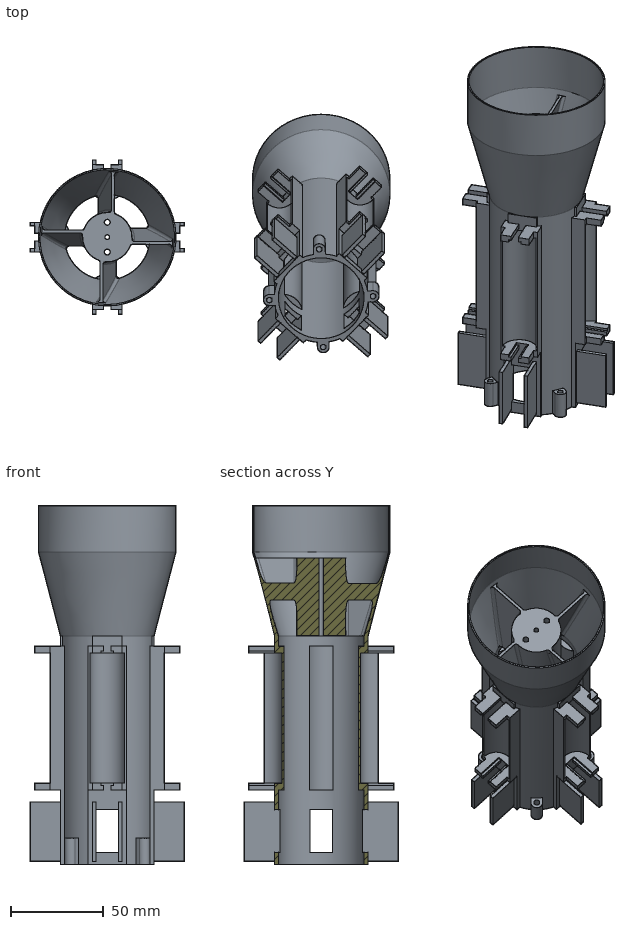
import cadquery as cq
import math

TOTAL_HEIGHT = 193.0
COLLAR_HEIGHT = 25.0
FUNNEL_HEIGHT = 45.0
COLLAR_BOTTOM = TOTAL_HEIGHT - COLLAR_HEIGHT
TUBE_TOP = COLLAR_BOTTOM - FUNNEL_HEIGHT

TUBE_RADIUS = 25.25
BORE_RADIUS = 23.0
ROOT_RADIUS = (TUBE_RADIUS + BORE_RADIUS) / 2
COLLAR_RADIUS = 37.0
COLLAR_BORE_RADIUS = 36.2

PAD_HALF_WIDTH = 10.25
NECK_HALF_WIDTH = 8.0

HOLDER_BOTTOM = 40.0
HOLDER_TOP = 117.5
HOLDER_REACH = 30.7
CLIP_THICKNESS = 3.75
CLIP_HALF_WIDTH = 8.0
CLIP_REACH = 39.0
POCKET_RADIUS = 9.4
LINER_RADIUS = 10.75
SLOT_WIDTH = 4.0
TAB_SLOT_WIDTH = 6.8
TAB_SLOT_DEPTH = 1.25

OVERALL_WIDTH = 83.0
FIN_REACH = OVERALL_WIDTH / 2
FIN_THICKNESS = 2.0
FIN_GAP = 12.0
FIN_BOTTOM = 1.75
FIN_HEIGHT = 32.0
WINDOW_BOTTOM = 6.5
WINDOW_HEIGHT = 23.0

BOSS_RADIUS = 3.2
BOSS_CENTRE_RADIUS = 27.9
BOSS_HEIGHT = 14.2
BOSS_HOLE_DIAMETER = 3.0

HUB_RADIUS = 13.25
HUB_TOP = 165.0
MOUNT_HOLE_DIAMETER = 3.0
MOUNT_HOLE_SPACING = 16.0
SHAFT_HOLE_DIAMETER = 2.4
VANE_THICKNESS = 1.6
VANE_TOP_OFFSET = -3.1
VANE_TILT = 9.7
VANE_EMBED = 0.4
VANE_FILLET = 1.5

EDGE_TOLERANCE = 0.01
QUARTER_TURNS = (0, 90, 180, 270)
DIAGONALS = (45, 135, 225, 315)
SEAM_ANGLE = 45.0
Z_AXIS = ((0, 0, 0), (0, 0, 1))


def block(x_min, x_max, y_min, y_max, z_min, z_max):
    """Axis-aligned box given by its limits."""
    size = (x_max - x_min, y_max - y_min, z_max - z_min)
    return cq.Workplane("XY").box(*size, centered=False).translate((x_min, y_min, z_min))


def side_block(x_min, x_max, half_width, z_min, z_max):
    """Box on the +X side, symmetric about the XZ plane."""
    return block(x_min, x_max, -half_width, half_width, z_min, z_max)


def cylinder(radius, z_min, z_max, x=0.0, y=0.0):
    """Upright cylinder between two heights."""
    return cq.Workplane("XY", origin=(x, y, z_min)).circle(radius).extrude(z_max - z_min)


def around(shape, angles):
    """Copies of a shape turned about the Z axis, joined together."""
    copies = cq.Workplane("XY")
    for angle in angles:
        copies = copies.add(shape.rotate(*Z_AXIS, angle))
    return copies.combine()


def stepped_solid(tube_radius, collar_radius):
    """Solid of revolution: tube, widening funnel and collar."""
    return (
        cq.Workplane("XZ")
        .polyline([
            (0, 0),
            (tube_radius, 0),
            (tube_radius, TUBE_TOP),
            (collar_radius, COLLAR_BOTTOM),
            (collar_radius, TOTAL_HEIGHT),
            (0, TOTAL_HEIGHT),
        ])
        .close()
        .revolve(360, (0, 0, 0), (0, 1, 0))
        .rotate(*Z_AXIS, SEAM_ANGLE)
    )


def cell_holder():
    """Block and end clips on the +X side, before the pocket is cut."""
    holder = side_block(0, HOLDER_REACH, PAD_HALF_WIDTH, HOLDER_BOTTOM, HOLDER_TOP)
    for z_min in (HOLDER_BOTTOM, HOLDER_TOP - CLIP_THICKNESS):
        clip = side_block(0, CLIP_REACH, CLIP_HALF_WIDTH, z_min, z_min + CLIP_THICKNESS)
        holder = holder.union(clip)
    return holder


def fin_pair():
    """Two flat fins on the +X side."""
    fins = cq.Workplane("XY")
    fin_top = FIN_BOTTOM + FIN_HEIGHT
    for y_min in (FIN_GAP / 2, -FIN_GAP / 2 - FIN_THICKNESS):
        y_max = y_min + FIN_THICKNESS
        fins = fins.add(block(ROOT_RADIUS, FIN_REACH, y_min, y_max, FIN_BOTTOM, fin_top))
    return fins.combine()


def pocket_cut():
    """Cell pocket with the terminal slots at both ends, on the +X side."""
    pocket_bottom = HOLDER_BOTTOM + CLIP_THICKNESS
    pocket_top = HOLDER_TOP - CLIP_THICKNESS
    pocket = cylinder(POCKET_RADIUS, pocket_bottom, pocket_top, HOLDER_REACH)
    slot = side_block(TUBE_RADIUS, CLIP_REACH, SLOT_WIDTH / 2, HOLDER_BOTTOM, HOLDER_TOP)
    tab_bottom = pocket_bottom - TAB_SLOT_DEPTH
    tab_top = pocket_top + TAB_SLOT_DEPTH
    tab_slot = side_block(TUBE_RADIUS, CLIP_REACH, TAB_SLOT_WIDTH / 2, tab_bottom, tab_top)
    return pocket.union(slot).union(tab_slot)


def screw_boss():
    """Round-ended boss reaching out along +X from inside the tube wall."""
    web = side_block(ROOT_RADIUS, BOSS_CENTRE_RADIUS, BOSS_RADIUS, 0, BOSS_HEIGHT)
    return web.union(cylinder(BOSS_RADIUS, 0, BOSS_HEIGHT, BOSS_CENTRE_RADIUS))


def vane():
    """Tilted plate reaching out along +X from the hub axis past the funnel wall."""
    drift = (HUB_TOP - TUBE_TOP) * math.tan(math.radians(VANE_TILT))
    half = VANE_THICKNESS / 2
    bottom_offset = VANE_TOP_OFFSET + drift
    return (
        cq.Workplane("YZ")
        .polyline([
            (VANE_TOP_OFFSET - half, HUB_TOP),
            (VANE_TOP_OFFSET + half, HUB_TOP),
            (bottom_offset + half, TUBE_TOP),
            (bottom_offset - half, TUBE_TOP),
        ])
        .close()
        .extrude(COLLAR_RADIUS)
    )


def motor_mount():
    """Hub and vanes, trimmed to sit just inside the funnel wall."""
    hub = cylinder(HUB_RADIUS, TUBE_TOP, HUB_TOP).rotate(*Z_AXIS, SEAM_ANGLE)
    vanes = around(vane(), QUARTER_TURNS)
    envelope = stepped_solid(BORE_RADIUS + VANE_EMBED, COLLAR_BORE_RADIUS + VANE_EMBED)
    mount = hub.union(vanes.intersect(envelope))
    mount = mount.cut(cylinder(SHAFT_HOLE_DIAMETER / 2, TUBE_TOP, HUB_TOP))
    for y in (-MOUNT_HOLE_SPACING / 2, MOUNT_HOLE_SPACING / 2):
        mount = mount.cut(cylinder(MOUNT_HOLE_DIAMETER / 2, TUBE_TOP, HUB_TOP, 0, y))
    return mount


def is_vane_root(edge):
    """True for the curved full-height edges where a vane meets the hub or the funnel wall."""
    box = edge.BoundingBox()
    reaches_top = abs(box.zmax - HUB_TOP) < EDGE_TOLERANCE
    reaches_bottom = abs(box.zmin - TUBE_TOP) < EDGE_TOLERANCE
    return reaches_top and reaches_bottom and edge.geomType() != "LINE"


body = stepped_solid(TUBE_RADIUS, COLLAR_RADIUS)
pad = side_block(0, TUBE_RADIUS, PAD_HALF_WIDTH, 0, HOLDER_BOTTOM)
neck = side_block(0, TUBE_RADIUS, NECK_HALF_WIDTH, HOLDER_TOP, TUBE_TOP)
body = body.union(around(pad.union(neck).union(cell_holder()), QUARTER_TURNS))
body = body.union(around(fin_pair(), QUARTER_TURNS))
body = body.union(around(screw_boss(), DIAGONALS))

liner = cylinder(LINER_RADIUS, HOLDER_BOTTOM, HOLDER_TOP, HOLDER_REACH)
bore = stepped_solid(BORE_RADIUS, COLLAR_BORE_RADIUS).cut(around(liner, QUARTER_TURNS))
body = body.cut(bore)

body = body.cut(around(pocket_cut(), QUARTER_TURNS))
window = side_block(0, TUBE_RADIUS, FIN_GAP / 2, WINDOW_BOTTOM, WINDOW_BOTTOM + WINDOW_HEIGHT)
body = body.cut(around(window, QUARTER_TURNS))
screw_hole = cylinder(BOSS_HOLE_DIAMETER / 2, 0, BOSS_HEIGHT, BOSS_CENTRE_RADIUS)
body = body.cut(around(screw_hole, DIAGONALS))

body = body.union(motor_mount())
vane_roots = [edge for edge in body.edges().vals() if is_vane_root(edge)]
result = body.newObject(vane_roots).fillet(VANE_FILLET)